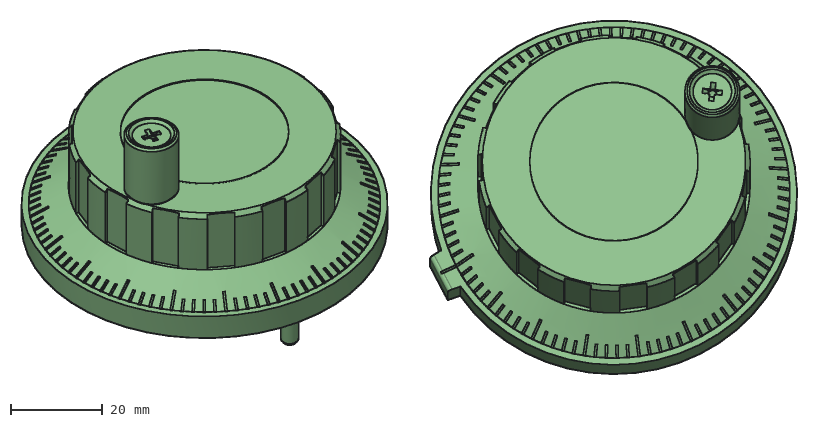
import cadquery as cq
import math

FLANGE_D = 79.9
FLANGE_H = 6.0
BOSS_D = 60.0
BOSS_H = 4.0
STUD_D = 4.0
STUD_LENGTH = 8.0
STUD_CHAMFER_R = 0.6
STUD_CHAMFER_H = 0.8
STUD_COUNT = 3
STUD_CIRCLE_R = 36.0
TAB_END_Y = 42.6
TAB_END_W = 8.75
TAB_ROOT_Y = 38.8
TAB_ROOT_W = 9.6
TAB_EDGE_R = 1.0

SKIRT_D = 76.8
SKIRT_H = 4.95
FOOT_DEPTH = 0.8
DRUM_D = 59.45
DRUM_H = 15.0
DRUM_CHAMFER = 1.0
GRIP_COUNT = 15
GRIP_GAP_W = 6.0
GRIP_FLAT_R = 28.9

TICK_COUNT = 100
TICKS_PER_LONG = 5
TICK_W = 0.5
TICK_DEPTH = 0.1
SHORT_TICK_INNER_R = 35.9
LONG_TICK_INNER_R = 34.35

LABEL_D = 36.7
LABEL_T = 0.8
LABEL_SUNK = 0.25

HANDLE_D = 12.0
HANDLE_H = 15.5
HANDLE_CHAMFER = 0.5
HANDLE_Y = -23.95
COLLAR_D = 10.0
COLLAR_H = 0.5
MOUTH_D = COLLAR_D
MOUTH_DEPTH = 0.6

SCREW_D = 8.4
SCREW_H = 2.5
CROSS_LENGTH = 4.3
CROSS_W = 1.1
CROSS_SLOPE = 0.7
CROSS_ANGLE = 57
CENTRE_HOLE_R = 0.9
CENTRE_HOLE_DEPTH = 1.65
CENTRE_TIP_DEPTH = 0.4

SKIRT_R = SKIRT_D / 2
DRUM_R = DRUM_D / 2
SKIRT_TOP_Z = FLANGE_H + SKIRT_H
DRUM_TOP_Z = SKIRT_TOP_Z + DRUM_H
HANDLE_TOP_Z = DRUM_TOP_Z + COLLAR_H + HANDLE_H
SCREW_TOP_Z = HANDLE_TOP_Z - MOUTH_DEPTH
SKIRT_SLOPE = math.degrees(math.atan2(SKIRT_H, SKIRT_R - DRUM_R))
CUT_CLEARANCE = 0.8


def cylinder(diameter, height, bottom_z):
    return cq.Workplane("XY", origin=(0, 0, bottom_z)).circle(diameter / 2).extrude(height)


def revolve_profile(points):
    """Turn a closed outline of (radius, z) points about the Z axis."""
    return cq.Workplane("XZ").polyline(points).close().revolve(360, (0, 0), (0, 1))


def make_stud():
    """Stud hanging from the flange, chamfered at its lower end."""
    tip_r = STUD_D / 2 - STUD_CHAMFER_R
    return revolve_profile([
        (0, 0),
        (STUD_D / 2, 0),
        (STUD_D / 2, STUD_CHAMFER_H - STUD_LENGTH),
        (tip_r, -STUD_LENGTH),
        (0, -STUD_LENGTH),
    ])


def make_tab():
    """Tapered pointer with a rounded upper end edge."""
    tab = (
        cq.Workplane("XY")
        .polyline([
            (-TAB_ROOT_W / 2, TAB_ROOT_Y),
            (TAB_ROOT_W / 2, TAB_ROOT_Y),
            (TAB_END_W / 2, TAB_END_Y),
            (-TAB_END_W / 2, TAB_END_Y),
        ])
        .close()
        .extrude(FLANGE_H)
    )
    return tab.faces(">Y").edges(">Z").fillet(TAB_EDGE_R)


def make_index_tick():
    """Cutter for the tick that continues the zero graduation along the tab."""
    inner_y = SKIRT_R - CUT_CLEARANCE
    length = TAB_END_Y - inner_y
    bar = cq.Workplane("XY").box(
        TICK_W, length, TICK_DEPTH + CUT_CLEARANCE, centered=(True, False, False)
    )
    return bar.translate((0, inner_y, FLANGE_H - TICK_DEPTH))


def make_base():
    """Flange, boss, tab and studs in one piece, recessed for the foot of the dial."""
    base = cylinder(FLANGE_D, FLANGE_H, 0).union(cylinder(BOSS_D, BOSS_H, -BOSS_H))
    base = base.union(make_tab())
    for i in range(STUD_COUNT):
        stud = make_stud().translate((0, STUD_CIRCLE_R, 0))
        base = base.union(stud.rotate((0, 0, 0), (0, 0, 1), i * 360 / STUD_COUNT))
    dial_recess = cylinder(SKIRT_D, FOOT_DEPTH, FLANGE_H - FOOT_DEPTH)
    return base.cut(dial_recess).cut(make_index_tick())


def make_tick_cutter(index):
    """Bar lying along the skirt slope, turned to its place on the scale."""
    inner_r = SHORT_TICK_INNER_R if index % TICKS_PER_LONG else LONG_TICK_INNER_R
    length = (SKIRT_R - inner_r) / math.cos(math.radians(SKIRT_SLOPE))
    bar = (
        cq.Workplane("XY")
        .box(TICK_W, length + CUT_CLEARANCE, TICK_DEPTH + CUT_CLEARANCE, centered=(True, False, False))
        .translate((0, -length, -TICK_DEPTH))
        .rotate((0, 0, 0), (1, 0, 0), -SKIRT_SLOPE)
        .translate((0, SKIRT_R, FLANGE_H))
    )
    return bar.rotate((0, 0, 0), (0, 0, 1), index * 360 / TICK_COUNT).val()


def make_grip_cutter(index):
    """Flat-bottomed gap between two grip teeth; the first gap is centred on +Y."""
    depth = DRUM_R - GRIP_FLAT_R + CUT_CLEARANCE
    gap = cq.Workplane("XY").box(
        GRIP_GAP_W, depth, DRUM_H + CUT_CLEARANCE, centered=(True, False, False)
    )
    gap = gap.translate((0, GRIP_FLAT_R, SKIRT_TOP_Z))
    return gap.rotate((0, 0, 0), (0, 0, 1), index * 360 / GRIP_COUNT).val()


def make_dial():
    """Turned skirt and drum with the label recess, grip gaps and graduation ticks cut in."""
    dial = revolve_profile([
        (0, FLANGE_H - FOOT_DEPTH),
        (SKIRT_R, FLANGE_H - FOOT_DEPTH),
        (SKIRT_R, FLANGE_H),
        (DRUM_R, SKIRT_TOP_Z),
        (DRUM_R, DRUM_TOP_Z - DRUM_CHAMFER),
        (DRUM_R - DRUM_CHAMFER, DRUM_TOP_Z),
        (0, DRUM_TOP_Z),
    ])
    recess_depth = LABEL_SUNK + LABEL_T
    dial = dial.cut(cylinder(LABEL_D, recess_depth, DRUM_TOP_Z - recess_depth))
    ticks = [make_tick_cutter(i) for i in range(TICK_COUNT)]
    gaps = [make_grip_cutter(i) for i in range(GRIP_COUNT)]
    return cq.Workplane(dial.val().cut(*gaps, *ticks).Solids()[0])


def make_label():
    """Disc that fills the recess in the drum except for its sunk top."""
    return cylinder(LABEL_D, LABEL_T, DRUM_TOP_Z - LABEL_SUNK - LABEL_T)


def make_handle():
    """Chamfered grip on a collar, with a conical mouth above the screw seat."""
    handle_r = HANDLE_D / 2
    neck_r = handle_r - HANDLE_CHAMFER
    grip_bottom_z = DRUM_TOP_Z + COLLAR_H
    seat_z = SCREW_TOP_Z - SCREW_H
    handle = revolve_profile([
        (0, DRUM_TOP_Z),
        (COLLAR_D / 2, DRUM_TOP_Z),
        (COLLAR_D / 2, grip_bottom_z),
        (neck_r, grip_bottom_z),
        (handle_r, grip_bottom_z + HANDLE_CHAMFER),
        (handle_r, HANDLE_TOP_Z - HANDLE_CHAMFER),
        (neck_r, HANDLE_TOP_Z),
        (MOUTH_D / 2, HANDLE_TOP_Z),
        (SCREW_D / 2, SCREW_TOP_Z),
        (SCREW_D / 2, seat_z),
        (0, seat_z),
    ])
    return handle.translate((0, HANDLE_Y, 0))


def make_cross_slot(angle):
    """V-shaped slot, deepest at the middle."""
    half_length = CROSS_LENGTH / 2
    slot = (
        cq.Workplane("XZ")
        .polyline([(-half_length, 0), (half_length, 0), (0, -half_length * CROSS_SLOPE)])
        .close()
        .extrude(CROSS_W / 2, both=True)
    )
    return slot.rotate((0, 0, 0), (0, 0, 1), angle).translate((0, 0, SCREW_TOP_Z))


def make_screw():
    """Round screw with crossed slots and a conical-bottomed centre hole."""
    screw = cylinder(SCREW_D, SCREW_H, SCREW_TOP_Z - SCREW_H)
    for angle in (CROSS_ANGLE, CROSS_ANGLE + 90):
        screw = screw.cut(make_cross_slot(angle))
    centre_hole = revolve_profile([
        (0, SCREW_TOP_Z),
        (CENTRE_HOLE_R, SCREW_TOP_Z),
        (CENTRE_HOLE_R, SCREW_TOP_Z - CENTRE_HOLE_DEPTH),
        (0, SCREW_TOP_Z - CENTRE_HOLE_DEPTH - CENTRE_TIP_DEPTH),
    ])
    return screw.cut(centre_hole).translate((0, HANDLE_Y, 0))


base = make_base()
dial = make_dial()
label = make_label()
handle = make_handle()
screw = make_screw()

result = cq.Compound.makeCompound([
    base.val(),
    dial.val(),
    label.val(),
    handle.val(),
    screw.val(),
])